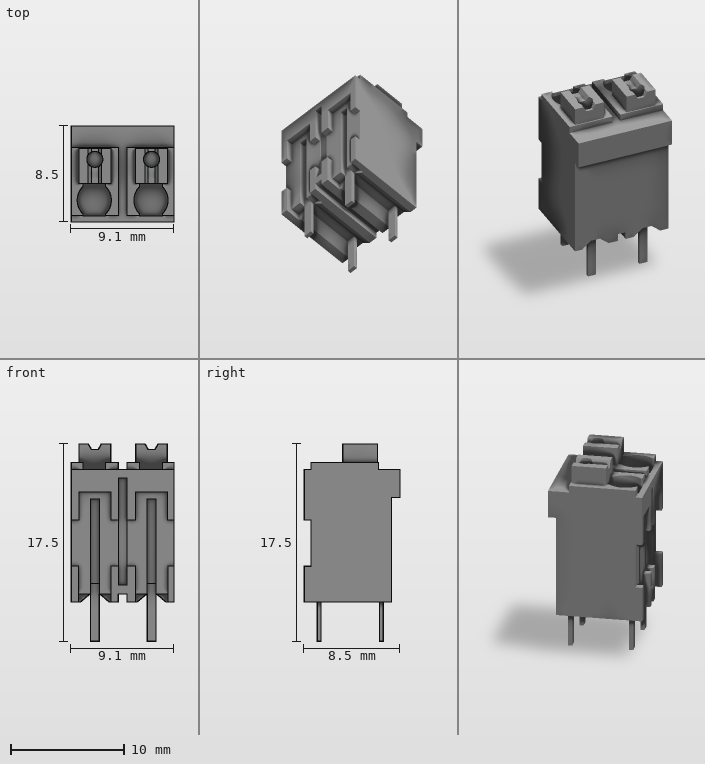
import cadquery as cq

housing_width = 9.1
housing_depth = 8.5
shoulder_height = 11.71
front_wall_y = 0.61
rear_wall_y = 7.75
rear_ledge_bottom = 9.21
overall_height = 17.45

pole_pitch = 5.0
contact_offset = 0.05
pocket_centres = [-pole_pitch / 2, pole_pitch / 2]
contact_centres = [x + contact_offset for x in pocket_centres]

pad_top = 12.34
pad_rear_y = 6.6
centre_gap = 0.75

apron_bottom = 7.25
apron_notch_top = 9.74
foot_top = 3.18
bay_width = 2.81
foot_bay_width = 2.86
groove_top = 9.1
groove_back_y = 1.17
centre_slot_back_y = 0.77
centre_slot_bottom = 1.5
centre_slot_top = 10.95

channel_height = 0.7
channel_mouth_width = 2.53
channel_crown_width = 0.87

pocket_width = 3.02
pocket_arc_length_y = 2.4
pocket_centre_y = 1.94
pocket_floor = 10.47
pocket_throat_width = 2.0
pocket_throat_front_y = 0.52

button_front_y = 3.4
button_rear_y = 6.5
button_notch_top_width = 1.17
button_notch_bottom_width = 0.61
button_notch_depth = 0.49
button_hole_diameter = 1.41
button_hole_y = 5.55
button_hole_depth = 1.4

pin_width = 0.79
pin_thickness = 0.35
pin_top = 1.62
pin_length_below = 3.47
pin_row_spacing = 5.5
pin_front_ys = [groove_back_y, groove_back_y + pin_row_spacing]
button_top = overall_height - pin_length_below


def block(centre_x, width, y_range, z_range):
    """Box centred on centre_x that spans the given Y and Z ranges."""
    y_min, y_max = y_range
    z_min, z_max = z_range
    corner = cq.Vector(centre_x - width / 2, y_min, z_min)
    return cq.Workplane(cq.Solid.makeBox(width, y_max - y_min, z_max - z_min, corner))


def trapezoid_channel(centre_x, start, end, y_max):
    """Channel along Y whose width changes between (width, z) start and end."""
    (start_width, start_z), (end_width, end_z) = start, end
    return (
        cq.Workplane("XZ", origin=(centre_x, 0, 0))
        .moveTo(-start_width / 2, start_z)
        .lineTo(start_width / 2, start_z)
        .lineTo(end_width / 2, end_z)
        .lineTo(-end_width / 2, end_z)
        .close()
        .extrude(-y_max)
    )


def make_pin(centre_x, front_y):
    return block(centre_x, pin_width, (front_y, front_y + pin_thickness), (-pin_length_below, pin_top))


def button_blank(centre_x):
    return block(centre_x, bay_width, (button_front_y, button_rear_y), (pocket_floor, button_top))


def make_button(centre_x):
    """Push button with a screwdriver notch along Y and a blind round hole."""
    notch_bottom = button_top - button_notch_depth
    notch = trapezoid_channel(
        centre_x,
        (button_notch_bottom_width, notch_bottom),
        (button_notch_top_width, button_top),
        housing_depth,
    )
    hole = (
        cq.Workplane("XY", origin=(centre_x, button_hole_y, button_top))
        .circle(button_hole_diameter / 2)
        .extrude(-button_hole_depth)
    )
    return button_blank(centre_x).cut(notch).cut(hole)


def housing_shell():
    """Stepped side profile extruded across the full width."""
    return (
        cq.Workplane("YZ", origin=(-housing_width / 2, 0, 0))
        .moveTo(0, 0)
        .lineTo(rear_wall_y, 0)
        .lineTo(rear_wall_y, rear_ledge_bottom)
        .lineTo(housing_depth, rear_ledge_bottom)
        .lineTo(housing_depth, shoulder_height)
        .lineTo(pad_rear_y, shoulder_height)
        .lineTo(pad_rear_y, pad_top)
        .lineTo(front_wall_y, pad_top)
        .lineTo(front_wall_y, shoulder_height)
        .lineTo(0, shoulder_height)
        .lineTo(0, apron_bottom)
        .lineTo(front_wall_y, apron_bottom)
        .lineTo(front_wall_y, foot_top)
        .lineTo(0, foot_top)
        .close()
        .extrude(housing_width)
    )


def cut_centre(housing):
    """Gap between the pads, blind slot in the front, and gap along the underside."""
    pad_gap = block(0, centre_gap, (0, housing_depth), (shoulder_height, pad_top))
    front_slot = block(0, centre_gap, (0, centre_slot_back_y), (centre_slot_bottom, centre_slot_top))
    foot_gap = block(0, centre_gap, (0, housing_depth), (0, channel_height))
    return housing.cut(pad_gap).cut(front_slot).cut(foot_gap)


def cut_contact_bay(housing, centre_x):
    """Front opening, pin groove and underside channel of one pole."""
    apron_bay = block(centre_x, bay_width, (0, front_wall_y), (apron_bottom, apron_notch_top))
    foot_bay = block(centre_x, foot_bay_width, (0, front_wall_y), (0, foot_top))
    groove = block(centre_x, pin_width, (0, groove_back_y), (0, groove_top))
    underside_relief = block(
        centre_x, foot_bay_width, (0, groove_back_y + pin_thickness), (0, channel_height)
    )
    channel = trapezoid_channel(
        centre_x, (channel_mouth_width, 0), (channel_crown_width, channel_height), housing_depth
    )
    for opening in (apron_bay, foot_bay, groove, underside_relief, channel):
        housing = housing.cut(opening)
    return housing


def cut_wire_pocket(housing, centre_x):
    """Straight pocket from the pad front to the button, bulged sideways by two arcs."""
    half_throat = pocket_throat_width / 2
    half_width = pocket_width / 2
    arc_front_y = pocket_centre_y - pocket_arc_length_y / 2
    arc_rear_y = pocket_centre_y + pocket_arc_length_y / 2
    pocket = (
        cq.Workplane("XY", origin=(centre_x, 0, pocket_floor))
        .moveTo(-half_throat, pocket_throat_front_y)
        .lineTo(half_throat, pocket_throat_front_y)
        .lineTo(half_throat, arc_front_y)
        .threePointArc((half_width, pocket_centre_y), (half_throat, arc_rear_y))
        .lineTo(half_throat, button_front_y)
        .lineTo(-half_throat, button_front_y)
        .lineTo(-half_throat, arc_rear_y)
        .threePointArc((-half_width, pocket_centre_y), (-half_throat, arc_front_y))
        .close()
        .extrude(pad_top - pocket_floor)
    )
    return housing.cut(pocket)


buttons = [make_button(x) for x in contact_centres]
pins = [make_pin(x, y) for x in contact_centres for y in pin_front_ys]

housing = cut_centre(housing_shell())
for x in pocket_centres:
    housing = cut_wire_pocket(housing, x)
for x in contact_centres:
    housing = cut_contact_bay(housing, x).cut(button_blank(x))
for pin in pins:
    housing = housing.cut(pin)

result = cq.Compound.makeCompound(
    [
        housing.val(),
        *[button.val() for button in buttons],
        *[pin.val() for pin in pins],
    ]
)